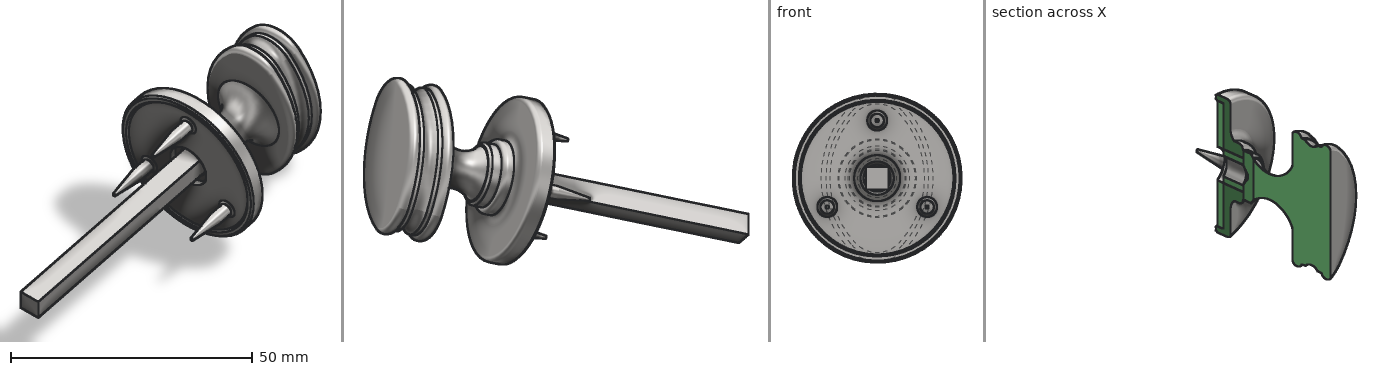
import cadquery as cq
import math


OVERALL_LENGTH = 82.4

HEAD_FRONT_Y = 30.6
HEAD_REAR_Y = 20.3
HEAD_HALF_WIDTH = 11.6
HEAD_HALF_HEIGHT = 17.2
HEAD_END_RADIUS = 8.0
BEAD_WIDTH = 2.55
BEAD_HEIGHT = 1.0
STEP_WIDTH = 1.0
COVE_DEPTH = 0.8
MOULDING_INSET = 3.5
CORE_INSET = 2.2

STEM_ARC_RADIUS = 6.35
STEM_WAIST_RADIUS = 4.0
STEM_WAIST_Y = 14.3

COLLAR_REAR_Y = 7.25
COLLAR_FRONT_Y = 10.0
COLLAR_RADIUS = 6.7
COLLAR_CHAMFER = 0.7

ROSE_DIAMETER = 35.0
ROSE_RADIUS = ROSE_DIAMETER / 2
ROSE_FACE_Y = 4.0
ROSE_FRONT_ROUND = 1.1
ROSE_REAR_CHAMFER = 0.4
COVE_FOOT_RADIUS = 10.05
NECK_RADIUS = 7.9
NECK_START_Y = 4.95
NECK_ROUND = 1.1

PLATE_RADIUS = 15.8
PLATE_THICKNESS = 1.65
PLATE_RECESS = 0.4

BUSH_RADIUS = 4.8
BUSH_BORE_RADIUS = 3.5

SPINDLE_SIDE = 4.7
SPINDLE_TIP_Y = HEAD_FRONT_Y - OVERALL_LENGTH
SPINDLE_ROOT_Y = 16.5
COUNTERSINK_MID_RADIUS = 2.8
COUNTERSINK_MOUTH_DEPTH = 0.5
COUNTERSINK_DEPTH = 1.3

SCREW_COUNT = 3
SCREW_CIRCLE_RADIUS = 11.95
SCREW_ROOT_RADIUS = 2.1
SCREW_SHANK_RADIUS = 1.4
SCREW_TIP_RADIUS = 0.3
SCREW_SHOULDER_Y = -3.55
SCREW_TIP_Y = -11.2
SCREW_FLARE_LENGTH = 0.3

PLATE_REAR_Y = PLATE_RECESS
PLATE_FRONT_Y = PLATE_RECESS + PLATE_THICKNESS


def turn(profile):
    """Revolve a closed (radius, Y) profile about the Y axis."""
    return profile.close().revolve(360, (0, 0, 0), (0, 1, 0))


def rod(radius, start_y, end_y):
    """Cylinder on the Y axis."""
    return cq.Workplane("XZ", origin=(0, start_y, 0)).circle(radius).extrude(start_y - end_y)


def square_bar(start_y, end_y):
    """Bar of the spindle's cross-section on the Y axis."""
    base = cq.Workplane("XZ", origin=(0, start_y, 0)).rect(SPINDLE_SIDE, SPINDLE_SIDE)
    return base.extrude(start_y - end_y)


def head_oval(y, inset):
    """Four-arc oval, smaller than the head's full outline by the inset, at the given Y."""
    half_width = HEAD_HALF_WIDTH - inset
    half_height = HEAD_HALF_HEIGHT - inset
    end_radius = HEAD_END_RADIUS - inset
    end_centre = half_height - end_radius
    gap = half_width - end_radius
    side_radius = end_radius + (end_centre**2 + gap**2) / (2 * gap)
    lean = math.atan2(end_centre, side_radius - half_width)
    x = end_radius * math.cos(lean)
    z = end_centre + end_radius * math.sin(lean)
    return (
        cq.Workplane("XZ", origin=(0, y, 0))
        .moveTo(-x, z)
        .threePointArc((0, half_height), (x, z))
        .threePointArc((half_width, 0), (x, -z))
        .threePointArc((0, -half_height), (-x, -z))
        .threePointArc((-half_width, 0), (-x, z))
        .close()
    )


def make_moulding():
    """Beads, steps and cove carried round the oval."""
    step_z = HEAD_HALF_HEIGHT - BEAD_HEIGHT
    inner_z = HEAD_HALF_HEIGHT - MOULDING_INSET
    mid_y = (HEAD_FRONT_Y + HEAD_REAR_Y) / 2
    rear_bead_end = HEAD_REAR_Y + BEAD_WIDTH
    front_bead_start = HEAD_FRONT_Y - BEAD_WIDTH
    profile = (
        cq.Workplane("YZ")
        .moveTo(HEAD_REAR_Y, inner_z)
        .lineTo(HEAD_REAR_Y, step_z)
        .threePointArc((HEAD_REAR_Y + BEAD_WIDTH / 2, HEAD_HALF_HEIGHT), (rear_bead_end, step_z))
        .lineTo(rear_bead_end + STEP_WIDTH, step_z)
        .threePointArc((mid_y, step_z - COVE_DEPTH), (front_bead_start - STEP_WIDTH, step_z))
        .lineTo(front_bead_start, step_z)
        .threePointArc((HEAD_FRONT_Y - BEAD_WIDTH / 2, HEAD_HALF_HEIGHT), (HEAD_FRONT_Y, step_z))
        .lineTo(HEAD_FRONT_Y, inner_z)
        .close()
    )
    return profile.sweep(head_oval(HEAD_REAR_Y, 0))


def make_stem():
    """Waisted stem from the collar to the rear of the head."""
    arc_centre = STEM_WAIST_RADIUS + STEM_ARC_RADIUS

    def stem_radius(y):
        return arc_centre - math.sqrt(STEM_ARC_RADIUS**2 - (y - STEM_WAIST_Y) ** 2)

    profile = (
        cq.Workplane("XY")
        .moveTo(0, COLLAR_FRONT_Y)
        .lineTo(stem_radius(COLLAR_FRONT_Y), COLLAR_FRONT_Y)
        .threePointArc((STEM_WAIST_RADIUS, STEM_WAIST_Y), (stem_radius(HEAD_REAR_Y), HEAD_REAR_Y))
        .lineTo(0, HEAD_REAR_Y)
    )
    return turn(profile)


def make_knob():
    """Moulded oval head on its stem, with a blind square socket for the spindle."""
    core = head_oval(HEAD_REAR_Y, CORE_INSET).extrude(HEAD_REAR_Y - HEAD_FRONT_Y)
    socket = square_bar(COLLAR_FRONT_Y, SPINDLE_ROOT_Y)
    return core.union(make_moulding()).union(make_stem()).cut(socket)


def make_collar():
    """Ring with a chamfered front edge and a square hole countersunk in two slopes from the rear."""
    ring = rod(COLLAR_RADIUS, COLLAR_REAR_Y, COLLAR_FRONT_Y).faces(">Y").edges().chamfer(COLLAR_CHAMFER)
    countersink = turn(
        cq.Workplane("XY")
        .moveTo(0, COLLAR_REAR_Y)
        .lineTo(BUSH_BORE_RADIUS, COLLAR_REAR_Y)
        .lineTo(COUNTERSINK_MID_RADIUS, COLLAR_REAR_Y + COUNTERSINK_MOUTH_DEPTH)
        .lineTo(SPINDLE_SIDE / 2, COLLAR_REAR_Y + COUNTERSINK_DEPTH)
        .lineTo(0, COLLAR_REAR_Y + COUNTERSINK_DEPTH)
    )
    return ring.cut(square_bar(COLLAR_REAR_Y, COLLAR_FRONT_Y)).cut(countersink)


def make_rose():
    """Cover coved up to its neck, with a flared pocket for the plate and a bore for the bush."""
    pocket_mouth = PLATE_RADIUS + PLATE_RECESS
    rim_shift = ROSE_FRONT_ROUND * (1 - math.sqrt(0.5))
    neck_shift = NECK_ROUND * (1 - math.sqrt(0.5))
    profile = (
        cq.Workplane("XY")
        .moveTo(BUSH_RADIUS, PLATE_FRONT_Y)
        .lineTo(PLATE_RADIUS, PLATE_FRONT_Y)
        .lineTo(PLATE_RADIUS, PLATE_REAR_Y)
        .lineTo(pocket_mouth, 0)
        .lineTo(ROSE_RADIUS - ROSE_REAR_CHAMFER, 0)
        .lineTo(ROSE_RADIUS, ROSE_REAR_CHAMFER)
        .lineTo(ROSE_RADIUS, ROSE_FACE_Y - ROSE_FRONT_ROUND)
        .threePointArc(
            (ROSE_RADIUS - rim_shift, ROSE_FACE_Y - rim_shift),
            (ROSE_RADIUS - ROSE_FRONT_ROUND, ROSE_FACE_Y),
        )
        .lineTo(COVE_FOOT_RADIUS, ROSE_FACE_Y)
        .tangentArcPoint((NECK_RADIUS, NECK_START_Y), relative=False)
        .lineTo(NECK_RADIUS, COLLAR_REAR_Y - NECK_ROUND)
        .threePointArc(
            (NECK_RADIUS - neck_shift, COLLAR_REAR_Y - neck_shift),
            (NECK_RADIUS - NECK_ROUND, COLLAR_REAR_Y),
        )
        .lineTo(BUSH_RADIUS, COLLAR_REAR_Y)
    )
    return turn(profile)


def make_bush():
    """Plain tube from the plate to the collar."""
    bore = rod(BUSH_BORE_RADIUS, PLATE_FRONT_Y, COLLAR_REAR_Y)
    return rod(BUSH_RADIUS, PLATE_FRONT_Y, COLLAR_REAR_Y).cut(bore)


def screw_places():
    """Screw axes, evenly spaced with one at the top."""
    angles = [math.radians(90 + 360 * i / SCREW_COUNT) for i in range(SCREW_COUNT)]
    return [(SCREW_CIRCLE_RADIUS * math.cos(a), SCREW_CIRCLE_RADIUS * math.sin(a)) for a in angles]


def make_plate():
    """Disc with a centre hole and a hole for each screw root."""
    plate = rod(PLATE_RADIUS, PLATE_REAR_Y, PLATE_FRONT_Y).cut(rod(BUSH_RADIUS, PLATE_REAR_Y, PLATE_FRONT_Y))
    for x, z in screw_places():
        plate = plate.cut(rod(SCREW_ROOT_RADIUS, PLATE_REAR_Y, PLATE_FRONT_Y).translate((x, 0, z)))
    return plate


def make_screw():
    """Root in the plate, flare down to the shank, then a blunt tapered tip."""
    profile = (
        cq.Workplane("XY")
        .moveTo(0, PLATE_FRONT_Y)
        .lineTo(SCREW_ROOT_RADIUS, PLATE_FRONT_Y)
        .lineTo(SCREW_ROOT_RADIUS, PLATE_REAR_Y)
        .lineTo(SCREW_SHANK_RADIUS, PLATE_REAR_Y - SCREW_FLARE_LENGTH)
        .lineTo(SCREW_SHANK_RADIUS, SCREW_SHOULDER_Y)
        .lineTo(SCREW_TIP_RADIUS, SCREW_TIP_Y)
        .lineTo(0, SCREW_TIP_Y)
    )
    return turn(profile)


knob = make_knob()
collar = make_collar()
rose = make_rose()
plate = make_plate()
bush = make_bush()
spindle = square_bar(SPINDLE_TIP_Y, SPINDLE_ROOT_Y)
screws = [make_screw().translate((x, 0, z)) for x, z in screw_places()]

result = cq.Compound.makeCompound(
    [
        knob.val(),
        collar.val(),
        rose.val(),
        plate.val(),
        bush.val(),
        spindle.val(),
        *[screw.val() for screw in screws],
    ]
)